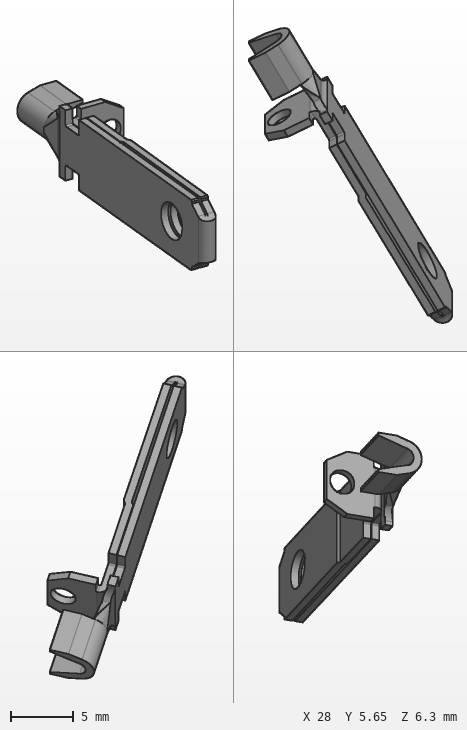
import cadquery as cq
import math

length = 27.95
sheet = 0.67
blade_width = 6.3
blade_half = blade_width / 2
neck_half = 1.73

barrel_end = 4.0
strip_start = 5.67
collar_start = 6.35
collar_end = 7.26
blade_start = 9.28
taper_start = 26.12
corner_radius = 0.15

gap = 0.05
rear_low = sheet + gap
rear_high = rear_low + sheet
jog_start = 14.25
jog_end = 14.53
jog_height = 0.2
nose_height = 1.55
nose_radius = nose_height / 2
nose_x = length - nose_radius
gap_end = 27.2
mid_gap = sheet + gap / 2

nick_x = 26.24
nick_top = 3.02
nick_bottom = 2.82
bevel_end = (27.13, 2.12)
tip_half = 1.85
hole_x = 23.2
hole_diameter = 3.15

tab_top = 5.65
tab_half = 2.75
tab_corner_y = 3.9
tab_top_half = 1.73
tab_shoulder_y = 1.62
tab_hole_y = 4.33
tab_hole_radius = 1.03
bend_inner = 0.17

barrel_outer = 1.45
barrel_inner = 0.75
barrel_y = barrel_outer
wing_angle = math.radians(17)
wing_half = 1.73
wing_top = 3.7

rim_angle = 10.0
flat_angle = 80.0
facet_inset = 0.05
strip_lift = 0.22
crown = (6.04, 0.2)
flare_mid = (6.0, 2.05)
flare_half = 2.77


def both_halves(half):
    """Join a solid on the +Z side with its mirror image."""
    return half.union(half.mirror("XY"))


def sheet_fold():
    """Side profile of the sheet: front leaf, nose, rear leaf and upright tab."""
    bend_outer = bend_inner + sheet
    tab_inner = collar_start + sheet
    diagonal = math.sqrt(0.5)
    bend_x = collar_start + bend_outer
    bend_y = rear_low + bend_outer
    return (
        cq.Workplane("XY")
        .moveTo(collar_start, 0)
        .lineTo(nose_x, 0)
        .threePointArc((length, nose_radius), (nose_x, nose_height))
        .lineTo(jog_end, rear_high + jog_height)
        .lineTo(jog_start, rear_high)
        .lineTo(bend_x, rear_high)
        .threePointArc(
            (bend_x - bend_inner * diagonal, bend_y - bend_inner * diagonal), (tab_inner, bend_y)
        )
        .lineTo(tab_inner, tab_top)
        .lineTo(collar_start, tab_top)
        .lineTo(collar_start, bend_y)
        .threePointArc(
            (bend_x - bend_outer * diagonal, bend_y - bend_outer * diagonal), (bend_x, rear_low)
        )
        .lineTo(jog_start, rear_low)
        .lineTo(jog_end, rear_low + jog_height)
        .lineTo(gap_end, nose_height - sheet)
        .lineTo(gap_end, sheet)
        .lineTo(collar_start, sheet)
        .close()
        .extrude(blade_half, both=True)
    )


def leaf_outline(low, high):
    """Neck and blade with its tapered tip, as a block between two Y heights."""
    half = (
        cq.Workplane("XZ", origin=(0, low, 0))
        .moveTo(collar_start, 0)
        .lineTo(collar_start, neck_half)
        .lineTo(blade_start, neck_half)
        .lineTo(blade_start, blade_half)
        .lineTo(taper_start, blade_half)
        .lineTo(nick_x, nick_top)
        .lineTo(nick_x, nick_bottom)
        .lineTo(*bevel_end)
        .tangentArcPoint((length, tip_half), relative=False)
        .lineTo(length, 0)
        .close()
        .extrude(low - high)
    )
    return both_halves(half)


def neck_corners(solid, x):
    """Round the inner corners where the neck meets a wider part at x."""
    reach = corner_radius
    corners = cq.selectors.BoxSelector(
        (x - reach, 0, -neck_half - reach), (x + reach, tab_top, neck_half + reach)
    )
    return solid.edges("|Y").edges(corners).fillet(corner_radius)


def front_leaf():
    """Outline of the front leaf, which carries the collar."""
    collar = cq.Workplane("XY").box(
        collar_end - collar_start, mid_gap, blade_width, centered=(False, False, True)
    )
    leaf = leaf_outline(0, mid_gap).union(collar.translate((collar_start, 0, 0)))
    return neck_corners(neck_corners(leaf, collar_end), blade_start)


def rear_leaf():
    """Outline of the rear leaf, whose neck runs on up to the tab."""
    return neck_corners(leaf_outline(mid_gap, tab_shoulder_y), blade_start)


def tab_outline():
    """Tab with bevelled top corners and rounded inner shoulders."""
    fillet_y = tab_shoulder_y - corner_radius
    fillet_z = neck_half + corner_radius
    sag = corner_radius * math.sqrt(0.5)
    half = (
        cq.Workplane("YZ", origin=(collar_start, 0, 0))
        .moveTo(fillet_y, 0)
        .lineTo(fillet_y, neck_half)
        .threePointArc((fillet_y + sag, fillet_z - sag), (tab_shoulder_y, fillet_z))
        .lineTo(tab_shoulder_y, tab_half)
        .lineTo(tab_corner_y, tab_half)
        .lineTo(tab_top, tab_top_half)
        .lineTo(tab_top, 0)
        .close()
        .extrude(sheet + bend_inner)
    )
    return both_halves(half)


def folded_blade():
    """Folded sheet trimmed to its outlines, with both holes cut through."""
    outline = front_leaf().union(rear_leaf()).union(tab_outline())
    blade = sheet_fold().intersect(outline)
    blade_hole = cq.Workplane("XZ").center(hole_x, 0).circle(hole_diameter / 2).extrude(-tab_top)
    tab_hole = (
        cq.Workplane("YZ", origin=(collar_start, 0, 0))
        .center(tab_hole_y, 0)
        .circle(tab_hole_radius)
        .extrude(sheet)
    )
    return blade.cut(blade_hole).cut(tab_hole)


def wire_barrel():
    """U-shaped barrel whose spreading wings are trimmed flat on the outside."""

    def wing_start(radius):
        return barrel_y - radius * math.sin(wing_angle), radius * math.cos(wing_angle)

    def lower_arc_mid(radius):
        angle = (math.pi / 2 + wing_angle) / 2
        return barrel_y - radius * math.sin(angle), radius * math.cos(angle)

    outer_y, outer_z = wing_start(barrel_outer)
    inner_y, inner_z = wing_start(barrel_inner)
    trim_y = outer_y + (wing_half - outer_z) / math.tan(wing_angle)
    tip_z = inner_z + (wing_top - inner_y) * math.tan(wing_angle)
    half = (
        cq.Workplane("YZ")
        .moveTo(barrel_y - barrel_outer, 0)
        .threePointArc(lower_arc_mid(barrel_outer), (outer_y, outer_z))
        .lineTo(trim_y, wing_half)
        .lineTo(wing_top, wing_half)
        .lineTo(wing_top, tip_z)
        .lineTo(inner_y, inner_z)
        .threePointArc(lower_arc_mid(barrel_inner), (barrel_y - barrel_inner, 0))
        .close()
        .extrude(barrel_end)
    )
    return both_halves(half)


def trough_to_strip():
    """Ruled blend from the bottom of the barrel to the raised flat strip."""

    def on_trough(radius, degrees, side):
        angle = math.radians(degrees)
        return barrel_y - radius * math.sin(angle), side * radius * math.cos(angle)

    def trough_face(wire, radius, side):
        """Cross the trough from the rim on the given side to the opposite rim."""
        middle_angle = (rim_angle + flat_angle) / 2
        return (
            wire.threePointArc(
                on_trough(radius, middle_angle, side), on_trough(radius, flat_angle, side)
            )
            .lineTo(*on_trough(radius, flat_angle, -side))
            .threePointArc(
                on_trough(radius, middle_angle, -side), on_trough(radius, rim_angle, -side)
            )
        )

    def strip_face(wire, y, side):
        """Cross the strip in the same three stretches as the trough."""
        facet_half = neck_half - facet_inset
        return (
            wire.lineTo(y, side * facet_half)
            .lineTo(y, -side * facet_half)
            .lineTo(y, -side * neck_half)
        )

    trough = cq.Workplane("YZ", origin=(barrel_end, 0, 0))
    trough = trough.moveTo(*on_trough(barrel_outer, rim_angle, 1))
    trough = trough_face(trough, barrel_outer, 1)
    trough = trough.lineTo(*on_trough(barrel_inner, rim_angle, -1))
    trough = trough_face(trough, barrel_inner, -1).close()

    strip_top = strip_lift + sheet
    strip = cq.Workplane("YZ", origin=(strip_start, 0, 0))
    strip = strip.moveTo(strip_lift, neck_half)
    strip = strip_face(strip, strip_lift, 1)
    strip = strip.lineTo(strip_top, -neck_half)
    strip = strip_face(strip, strip_top, -1).close()

    return cq.Workplane(cq.Solid.makeLoft([trough.val(), strip.val()], True))


def flared_strip():
    """Strip curving down to the collar while its edges flare outwards."""
    curve = (
        cq.Workplane("XY")
        .moveTo(strip_start, strip_lift)
        .threePointArc(crown, (collar_start, 0))
        .lineTo(collar_start, sheet)
        .threePointArc((crown[0], crown[1] + sheet), (strip_start, strip_lift + sheet))
        .close()
        .extrude(flare_half, both=True)
    )
    flare = (
        cq.Workplane("XZ")
        .moveTo(strip_start, 0)
        .lineTo(strip_start, neck_half)
        .threePointArc(flare_mid, (collar_start, flare_half))
        .lineTo(collar_start, 0)
        .close()
        .extrude(-(strip_lift + sheet))
    )
    return curve.intersect(both_halves(flare))


result = (
    folded_blade()
    .union(flared_strip())
    .union(trough_to_strip())
    .union(wire_barrel())
)